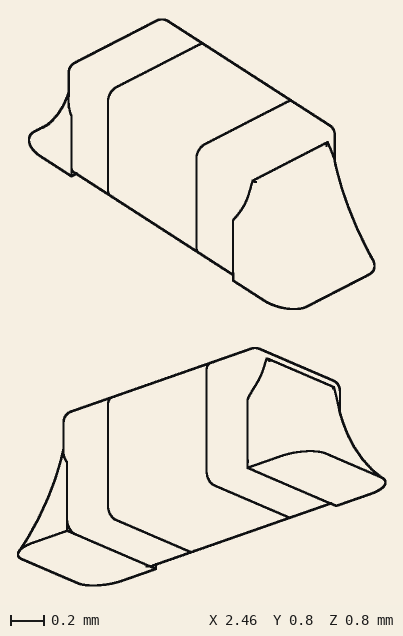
import cadquery as cq

OVERALL_LENGTH = 2.46
CHIP_LENGTH = 1.6
CHIP_WIDTH = 0.8
CHIP_HEIGHT = 0.8
CORE_LENGTH = 0.8
EDGE_RADIUS = 0.07
SOLDER_EDGE_RADIUS = 0.15
SLOPE_MID_X = 0.942
SLOPE_MID_HEIGHT = 0.345

CHIP_END_X = CHIP_LENGTH / 2
CORE_END_X = CORE_LENGTH / 2
TERMINAL_LENGTH = CHIP_END_X - CORE_END_X
SOLDER_INNER_X = CHIP_END_X - EDGE_RADIUS
SOLDER_TIP_X = OVERALL_LENGTH / 2
SOLDER_LENGTH = SOLDER_TIP_X - SOLDER_INNER_X
SOLDER_LIMIT_HEIGHT = CHIP_HEIGHT - EDGE_RADIUS
SIDES = (-1, 1)


def make_block(center_x, length, height=CHIP_HEIGHT):
    """Block of the full chip width, standing on Z = 0."""
    block = cq.Workplane("XY").box(length, CHIP_WIDTH, height, centered=(True, True, False))
    return block.translate((center_x, 0, 0))


def make_chip():
    """Outer shape of the core and both terminals together, with every edge rounded."""
    return make_block(0, CHIP_LENGTH).edges().fillet(EDGE_RADIUS)


def make_core(chip):
    """Ceramic middle part of the chip."""
    return chip.intersect(make_block(0, CORE_LENGTH))


def make_terminal(chip, side):
    """Metal end part of the chip."""
    center_x = side * (CORE_END_X + TERMINAL_LENGTH / 2)
    return chip.intersect(make_block(center_x, TERMINAL_LENGTH))


def make_solder(chip, side):
    """Concave solder joint that wraps the rounded end of the chip."""
    wedge = (
        cq.Workplane("XZ", origin=(0, CHIP_WIDTH / 2, 0))
        .moveTo(0, 0)
        .lineTo(side * SOLDER_TIP_X, 0)
        .threePointArc((side * SLOPE_MID_X, SLOPE_MID_HEIGHT), (side * CHIP_END_X, CHIP_HEIGHT))
        .lineTo(0, CHIP_HEIGHT)
        .close()
        .extrude(CHIP_WIDTH)
    )
    slope_edges = wedge.faces("%CYLINDER").edges("not <Z")
    rounded_wedge = slope_edges.fillet(SOLDER_EDGE_RADIUS)
    center_x = side * (SOLDER_INNER_X + SOLDER_LENGTH / 2)
    outside_part = rounded_wedge.intersect(make_block(center_x, SOLDER_LENGTH, SOLDER_LIMIT_HEIGHT))
    return outside_part.cut(chip)


chip = make_chip()
core = make_core(chip)
terminals = [make_terminal(chip, side) for side in SIDES]
solder_joints = [make_solder(chip, side) for side in SIDES]

bodies = [core, *terminals, *solder_joints]
result = cq.Compound.makeCompound([solid for body in bodies for solid in body.vals()])